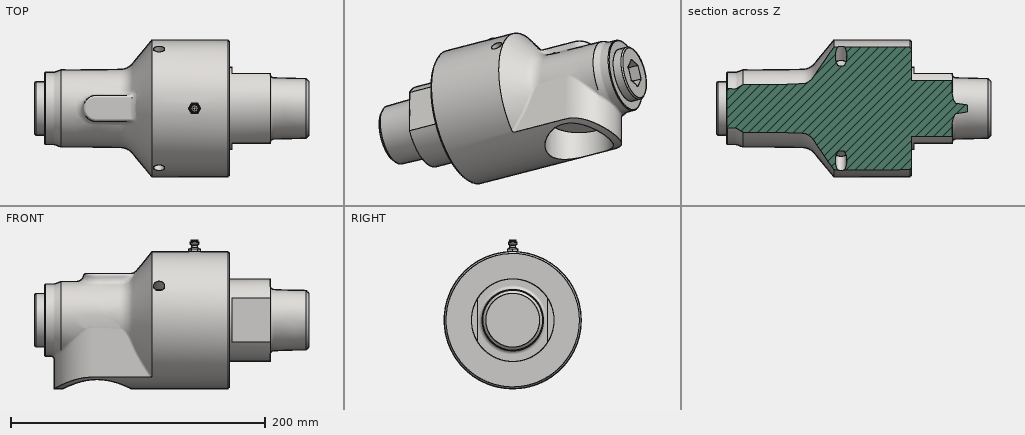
import cadquery as cq
import math


clearance = 0.2

length = 216.0
body_radius = 54.0
plug_end = 8.0
plug_radius = 21.2
plug_chamfer = 1.0
collar_end = 15.5
collar_radius = 28.5
collar_chamfer = 0.6
barrel_start = 21.0
barrel_end = 67.5
barrel_start_radius = 30.5
barrel_end_radius = 30.9
cone_start = 77.3
cone_start_radius = 35.6
body_start = 92.5
body_end = 153.5
body_chamfer = 1.5
hub_end = 185.5
hub_radius = 65.0 / 2
neck_end = 188.8
neck_start_radius = 27.0
nipple_start_radius = 24.2
nipple_end_radius = 23.5
nipple_chamfer = 2.4

flat_start = 155.5
flat_spacing = 55.0
socket_across_flats = 19.0
socket_depth = 10.8

outlet_x = 45.5
outlet_width = 60.3
outlet_radius = outlet_width / 2
outlet_fillet = 2.2
port_x = 49.2
port_diameter = 53.8
port_top = -26.0

pad_x = 48.8
pad_radius = 10.4
pad_top = 36.7
pad_edge_radius = 2.2
pad_root_radius = 5.2

hole_x = 98.0
hole_diameter = 8.6
hole_depth = 13.0
hole_angle = 60.0

fitting_x = 126.0
fitting_root = body_radius - 4.3
fitting_hex_across_flats = 8.2
fitting_hex_top = 56.0
fitting_neck_bottom = 57.0
fitting_neck_diameter = 4.8
fitting_neck_top = 58.8
fitting_head_bottom = 60.0
fitting_head_diameter = 7.0
fitting_head_top = 61.3
fitting_stem_diameter = 2.5
fitting_cap_bottom = 62.5
fitting_cap_diameter = 5.5
fitting_top = 63.0


def turned_body():
    """Everything that is round about the main axis, from the plug to the nipple."""
    cone_angle = math.atan2(body_radius - cone_start_radius, body_start - cone_start)
    blend_radius = (cone_start - barrel_end) / math.sin(cone_angle)
    blend_middle = (
        barrel_end + blend_radius * math.sin(cone_angle / 2),
        barrel_end_radius + blend_radius * (1 - math.cos(cone_angle / 2)),
    )
    neck_depth = neck_start_radius - nipple_start_radius
    neck_middle = (
        neck_end - (neck_end - hub_end) * math.sin(math.pi / 4),
        neck_start_radius - neck_depth * math.sin(math.pi / 4),
    )
    profile = (
        cq.Workplane("XY")
        .moveTo(0, 0)
        .lineTo(0, plug_radius - plug_chamfer)
        .lineTo(plug_chamfer, plug_radius)
        .lineTo(plug_end, plug_radius)
        .lineTo(plug_end, collar_radius - collar_chamfer)
        .lineTo(plug_end + collar_chamfer, collar_radius)
        .lineTo(collar_end, collar_radius)
        .lineTo(barrel_start, barrel_start_radius)
        .lineTo(barrel_end, barrel_end_radius)
        .threePointArc(blend_middle, (cone_start, cone_start_radius))
        .lineTo(body_start, body_radius)
        .lineTo(body_end - body_chamfer, body_radius)
        .lineTo(body_end, body_radius - body_chamfer)
        .lineTo(body_end, hub_radius)
        .lineTo(hub_end, hub_radius)
        .lineTo(hub_end, neck_start_radius)
        .threePointArc(neck_middle, (neck_end, nipple_start_radius))
        .lineTo(length - nipple_chamfer, nipple_end_radius)
        .lineTo(length, nipple_end_radius - nipple_chamfer)
        .lineTo(length, 0)
        .close()
    )
    return profile.revolve(360, (0, 0, 0), (1, 0, 0))


def round_ended_block(end_x, radius, height):
    """Block from the axis plane up or down, with a half-round front end centred at end_x."""
    return (
        cq.Workplane("XY")
        .moveTo(body_start, radius)
        .lineTo(end_x, radius)
        .threePointArc((end_x - radius, 0), (end_x, -radius))
        .lineTo(body_start, -radius)
        .close()
        .extrude(height)
    )


def outlet():
    """Round-ended block below the axis, trimmed to the outside of the large body."""
    envelope = cq.Workplane("YZ").circle(body_radius).extrude(length)
    return round_ended_block(outlet_x, outlet_radius, -body_radius).intersect(envelope)


def pad():
    """Upright pad with a rounded top edge, running back into the cone."""
    blank = round_ended_block(pad_x, pad_radius, pad_top)
    return blank.faces(">Z").edges("not >X").fillet(pad_edge_radius)


def inside(low, high):
    """Selector for edges that lie wholly between two corner points."""
    return cq.selectors.BoxSelector(low, high, boundingbox=True)


def add_outlet(body):
    """Join the outlet to the turned body and round the seam between them.

    The small step behind the collar is rounded along with the seam that runs into it.
    """
    joined = body.union(outlet())
    reach = barrel_end_radius
    below_barrel = inside(
        (plug_end + collar_chamfer, -reach, -body_radius + clearance),
        (body_start - clearance, reach, 0),
    )
    collar_step = inside(
        (collar_end - clearance, -reach, -reach),
        (collar_end + clearance, reach, reach),
    )
    seam = joined.edges(below_barrel).edges("not %LINE")
    return seam.add(joined.edges(collar_step)).fillet(outlet_fillet)


def add_pad(body):
    """Join the pad to the barrel and the cone and fill the corner around its foot."""
    joined = body.union(pad())
    foot = inside(
        (barrel_start, -pad_radius - clearance, 0),
        (body_start - clearance, pad_radius + clearance, pad_top + clearance),
    )
    return joined.edges(foot).fillet(pad_root_radius)


def wrench_flats():
    """Waste on both sides of the hub."""
    waste = cq.Workplane("XY").box(
        hub_end - flat_start, hub_radius, 2 * hub_radius, centered=(False, False, True)
    )
    far_side = waste.translate((flat_start, flat_spacing / 2, 0))
    return far_side.union(far_side.mirror("XZ"))


def plug_socket():
    """Hexagon with two corners along Y."""
    across_corners = socket_across_flats / math.cos(math.pi / 6)
    return cq.Workplane("YZ").polygon(6, across_corners).extrude(socket_depth)


def port():
    """Upright blind bore, open at the underside."""
    return (
        cq.Workplane("XY", origin=(port_x, 0, -body_radius))
        .circle(port_diameter / 2)
        .extrude(body_radius + port_top)
    )


def radial_hole(angle):
    """Blind hole, turned about X by the angle from straight up."""
    hole = (
        cq.Workplane("XY", origin=(hole_x, 0, body_radius - hole_depth))
        .circle(hole_diameter / 2)
        .extrude(hole_depth)
    )
    return hole.rotate((0, 0, 0), (1, 0, 0), angle)


def grease_fitting():
    """Hexagon base, sunk into the body, with a turned nipple on top."""
    hexagon = (
        cq.Workplane("XY", origin=(fitting_x, 0, fitting_root))
        .polygon(6, fitting_hex_across_flats / math.cos(math.pi / 6))
        .extrude(fitting_hex_top - fitting_root)
    )
    nipple = (
        cq.Workplane("XZ", origin=(fitting_x, 0, 0))
        .moveTo(0, fitting_root)
        .lineTo(fitting_hex_across_flats / 2, fitting_root)
        .lineTo(fitting_hex_across_flats / 2, fitting_hex_top)
        .lineTo(fitting_neck_diameter / 2, fitting_neck_bottom)
        .lineTo(fitting_neck_diameter / 2, fitting_neck_top)
        .lineTo(fitting_head_diameter / 2, fitting_head_bottom)
        .lineTo(fitting_head_diameter / 2, fitting_head_top)
        .lineTo(fitting_stem_diameter / 2, fitting_head_top)
        .lineTo(fitting_stem_diameter / 2, fitting_cap_bottom)
        .lineTo(fitting_cap_diameter / 2, fitting_cap_bottom)
        .lineTo(fitting_cap_diameter / 2, fitting_top)
        .lineTo(0, fitting_top)
        .close()
        .revolve(360, (0, 0, 0), (0, 1, 0))
    )
    return hexagon.union(nipple)


result = add_pad(add_outlet(turned_body()))
result = result.cut(wrench_flats()).cut(plug_socket()).cut(port())
for side in (-1, 1):
    result = result.cut(radial_hole(side * hole_angle))
result = result.union(grease_fitting())